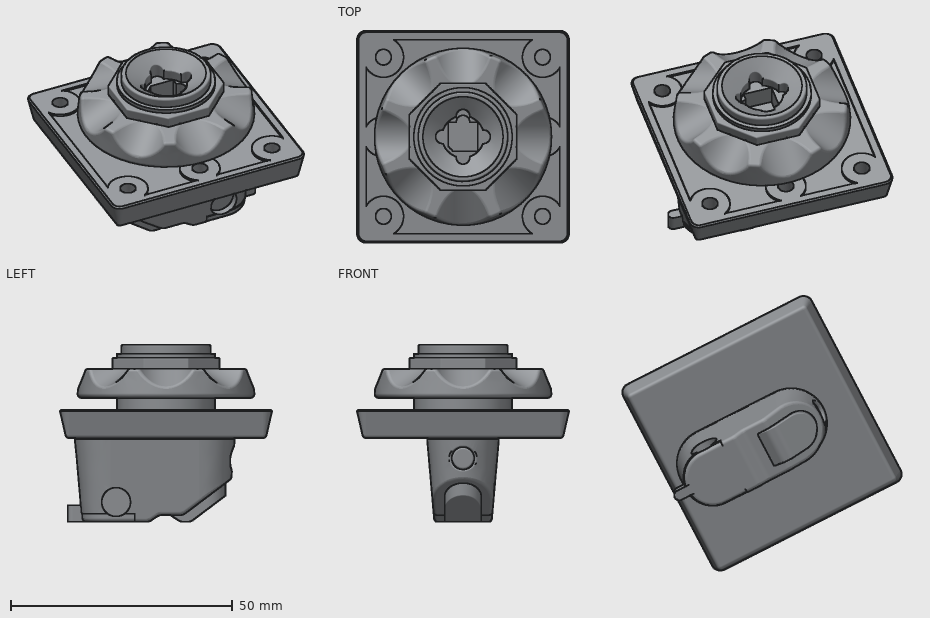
import cadquery as cq
import math


PLATE_SIDE = 48.0
PLATE_THICKNESS = 6.5
PLATE_DRAFT = 13.0
PLATE_CORNER_RADIUS = 2.1
PLATE_TOP_CHAMFER = 0.4
PLATE_TOP_BEVEL = 45.0
PLATE_BOTTOM_FILLET = 0.85
RECESS_SIDE = 43.85
RECESS_DEPTH = 0.5
SCREW_OFFSET = 18.0
SCREW_HOLE_RADIUS = 1.8
SCREW_HOLE_DEPTH = 4.8
SCREW_PAD_RADIUS = 4.55
CORNER_LAND_SIDE = RECESS_SIDE - 2 * SCREW_OFFSET

STEM_RADIUS = 11.15
STEM_TOP = 12.6
CAP_RADIUS = 10.15
CAP_TOP = 14.7
CAP_FILLET = 0.45
BOWL_RADIUS = 9.05
SOCKET_RADIUS = 4.75
BOWL_FLOOR = 11.8
SOCKET_FLOOR = 9.5
SOCKET_EDGE_FILLET = 0.25
LOBE_RADIUS = 1.55
LOBE_OFFSET = 4.65
KEY_SQUARE = 6.6
KEY_CORNER_CHAMFER = 1.1
KEY_DEPTH = 4.8

HOUSING_RADIUS = 8.15
HOUSING_BACK_Y = 12.55
HOUSING_FRONT_Y = -7.45
HOUSING_DRAFT = 5.0
TOTAL_HEIGHT = 40.15
HOUSING_BOTTOM = CAP_TOP - TOTAL_HEIGHT
HOUSING_TOP_CHAMFER = 0.25
HOUSING_RIM_FILLET = 0.85
STEP_START_Y = 3.85
STEP_END_Y = 1.55
STEP_Z = -23.9
RAMP_START_Y = -3.85
RAMP_ANGLE = 37.0
STEP_ROUNDING = 1.9
MIN_UNDERSIDE_SLOPE = 0.3
CUT_END_Y = -28.8
CUT_MARGIN = 0.5

FOOT_TOP = -23.6
FOOT_FRONT_Y = 7.1
FOOT_INSET = 0.2

TONGUE_RADIUS = 4.2
TONGUE_FRONT_Y = -9.3
TONGUE_ROOT_Y = -0.95
TONGUE_FLAT_START_Y = -3.35
TONGUE_FLAT_END_Y = -5.55
TONGUE_EDGE_FILLET = 0.25
TONGUE_ROOT_Z = -21.6

TAB_END_Y = 22.2
TAB_TOP = -21.65
TAB_HALF_WIDTH = 1.15

PIVOT_Y = 11.3
PIVOT_Z = -20.95
PIVOT_RADIUS = 3.25
PIVOT_FLOOR_X = 4.8

BUTTON_Z = -11.05
BUTTON_RADIUS = 2.55
BUTTON_FACE_Y = -14.55
BUTTON_FILLET = 0.55
BUTTON_SEAT_DEPTH = 1.45
BUTTON_MOUTH_FILLET = 0.45

KNOB_BOTTOM = 2.6
KNOB_TOP = 9.2
KNOB_BOTTOM_RADIUS = 20.15
KNOB_TOP_RADIUS = 19.35
KNOB_BOTTOM_FILLET = 0.95
KNOB_EDGE_FILLET = 0.75
SCALLOP_COUNT = 8
SCALLOP_RADIUS = 7.7
SCALLOP_START = 11.5
SCALLOP_SLOPE = 26.5
OCTAGON_SIDES = 8
OCTAGON_FLATS = 24.3
OCTAGON_TOP = 11.65
OCTAGON_FILLET = 0.35


def obround(radius, back_y, front_y, z):
    """Outline along Y with two round ends, centred on X = 0."""
    return (
        cq.Workplane("XY", origin=(0, (back_y + front_y) / 2, z))
        .slot2D(back_y - front_y + 2 * radius, 2 * radius, 90)
    )


def cylinder(radius, bottom, top, x=0, y=0):
    return cq.Workplane("XY", origin=(x, y, bottom)).circle(radius).extrude(top - bottom)


def make_plate():
    outline = (
        cq.Sketch().rect(PLATE_SIDE, PLATE_SIDE).vertices().fillet(PLATE_CORNER_RADIUS)
    )
    base = cq.Workplane("XY", origin=(0, 0, -PLATE_TOP_CHAMFER)).placeSketch(outline)
    plate = base.extrude(PLATE_TOP_CHAMFER - PLATE_THICKNESS, taper=PLATE_DRAFT)
    plate = plate.faces("<Z").edges().fillet(PLATE_BOTTOM_FILLET)
    plate = plate.union(base.extrude(PLATE_TOP_CHAMFER, taper=PLATE_TOP_BEVEL))

    recess = cq.Workplane("XY").rect(RECESS_SIDE, RECESS_SIDE).extrude(-RECESS_DEPTH)
    spots = [(x, y) for x in (-SCREW_OFFSET, SCREW_OFFSET) for y in (-SCREW_OFFSET, 0, SCREW_OFFSET)]
    for x, y in spots:
        recess = recess.cut(cylinder(SCREW_PAD_RADIUS, -RECESS_DEPTH, 0, x, y))
    corner_lands = (
        cq.Workplane("XY")
        .rect(RECESS_SIDE, RECESS_SIDE, forConstruction=True)
        .vertices()
        .rect(CORNER_LAND_SIDE, CORNER_LAND_SIDE)
        .extrude(-RECESS_DEPTH)
    )
    recess = recess.cut(corner_lands)
    plate = plate.cut(recess)
    for x, y in spots:
        plate = plate.cut(cylinder(SCREW_HOLE_RADIUS, -SCREW_HOLE_DEPTH, 0, x, y))
    return plate


def make_stem():
    stem = cylinder(STEM_RADIUS, -RECESS_DEPTH, STEM_TOP)
    cap = cylinder(CAP_RADIUS, STEM_TOP, CAP_TOP).faces(">Z").edges().fillet(CAP_FILLET)
    return stem.union(cap)


def make_socket():
    """Conical bowl, four-lobed hole and keyed square hole, as one cutting shape."""
    socket = cylinder(SOCKET_RADIUS, SOCKET_FLOOR, CAP_TOP)
    for x, y in ((LOBE_OFFSET, 0), (-LOBE_OFFSET, 0), (0, LOBE_OFFSET), (0, -LOBE_OFFSET)):
        socket = socket.union(cylinder(LOBE_RADIUS, SOCKET_FLOOR, CAP_TOP, x, y))
    bowl = (
        cq.Workplane("XZ")
        .polyline([(0, BOWL_FLOOR), (SOCKET_RADIUS, BOWL_FLOOR), (BOWL_RADIUS, CAP_TOP), (0, CAP_TOP)])
        .close()
        .revolve(360, (0, 0, 0), (0, 1, 0))
    )
    key = (
        cq.Workplane("XY", origin=(0, 0, SOCKET_FLOOR))
        .rect(KEY_SQUARE, KEY_SQUARE)
        .extrude(-KEY_DEPTH)
        .edges("|Z and <X and <Y")
        .chamfer(KEY_CORNER_CHAMFER)
    )
    key_lobe = cylinder(LOBE_RADIUS, SOCKET_FLOOR - KEY_DEPTH, SOCKET_FLOOR, 0, KEY_SQUARE / 2)
    return socket.union(bowl).union(key).union(key_lobe)


def round_socket_edge(body):
    """Round the edge between the bowl and the walls of the lobed hole."""
    reach = LOBE_OFFSET + LOBE_RADIUS
    edge_zone = cq.selectors.BoxSelector(
        (-reach, -reach, BOWL_FLOOR - SOCKET_EDGE_FILLET), (reach, reach, STEM_TOP + SOCKET_EDGE_FILLET)
    )
    mouth = body.edges(edge_zone).filter(lambda edge: edge.BoundingBox().xmax < BOWL_RADIUS)
    return mouth.fillet(SOCKET_EDGE_FILLET)


def ramp_z(y, start_y, start_z):
    """Height of a ramp rising toward -Y from (start_y, start_z)."""
    return start_z + (start_y - y) * math.tan(math.radians(RAMP_ANGLE))


def side_profile(points, half_width):
    """Prism across X over an outline given as (y, z) points."""
    return cq.Workplane("YZ").polyline(points).close().extrude(half_width, both=True)


def round_cross_edge(body, y, z):
    """Round the edge along X that passes nearest to (y, z)."""
    nearest = cq.selectors.NearestToPointSelector((0, y, z))
    return body.edges("|X").edges(nearest).fillet(STEP_ROUNDING)


def underside_faces(body):
    return body.faces().filter(lambda face: face.normalAt().z < -MIN_UNDERSIDE_SLOPE)


def make_underside_cut():
    """Everything below the step and the ramp, as one prism across the housing."""
    below = HOUSING_BOTTOM - CUT_MARGIN
    underside = side_profile(
        [
            (STEP_START_Y, HOUSING_BOTTOM),
            (STEP_END_Y, STEP_Z),
            (RAMP_START_Y, STEP_Z),
            (CUT_END_Y, ramp_z(CUT_END_Y, RAMP_START_Y, STEP_Z)),
            (CUT_END_Y, below),
            (STEP_START_Y, below),
        ],
        PLATE_SIDE,
    )
    for y in (STEP_END_Y, RAMP_START_Y):
        underside = round_cross_edge(underside, y, STEP_Z)
    return underside


def make_foot(radius):
    return (
        obround(radius, HOUSING_BACK_Y, HOUSING_FRONT_Y, HOUSING_BOTTOM)
        .extrude(FOOT_TOP - HOUSING_BOTTOM)
        .faces("<Z")
        .edges()
        .fillet(HOUSING_RIM_FILLET)
    )


def make_housing_shell():
    top = -PLATE_THICKNESS
    shell = obround(HOUSING_RADIUS, HOUSING_BACK_Y, HOUSING_FRONT_Y, top).extrude(
        HOUSING_BOTTOM - top, taper=HOUSING_DRAFT
    )
    shell = shell.faces(">Z").edges().chamfer(HOUSING_TOP_CHAMFER)
    shell = round_cross_edge(shell.cut(make_underside_cut()), STEP_START_Y, HOUSING_BOTTOM)
    shell = underside_faces(shell).edges("not(|X)").fillet(HOUSING_RIM_FILLET)

    foot_radius = HOUSING_RADIUS - (top - FOOT_TOP) * math.tan(math.radians(HOUSING_DRAFT)) - FOOT_INSET
    foot_zone = (
        cq.Workplane("XY")
        .box(PLATE_SIDE, PLATE_SIDE, FOOT_TOP - HOUSING_BOTTOM, centered=(True, False, False))
        .translate((0, FOOT_FRONT_Y, HOUSING_BOTTOM))
    )
    return shell.cut(foot_zone).union(make_foot(foot_radius).intersect(foot_zone))


def make_tongue():
    end = TONGUE_FRONT_Y - 2 * TONGUE_RADIUS
    profile = side_profile(
        [
            (TONGUE_ROOT_Y, STEP_Z),
            (TONGUE_FLAT_START_Y, HOUSING_BOTTOM),
            (TONGUE_FLAT_END_Y, HOUSING_BOTTOM),
            (end, ramp_z(end, TONGUE_FLAT_END_Y, HOUSING_BOTTOM)),
            (end, ramp_z(end, RAMP_START_Y, STEP_Z) + CUT_MARGIN),
            (RAMP_START_Y, TONGUE_ROOT_Z),
            (TONGUE_ROOT_Y, TONGUE_ROOT_Z),
        ],
        HOUSING_RADIUS,
    )
    for y in (TONGUE_FLAT_START_Y, TONGUE_FLAT_END_Y):
        profile = round_cross_edge(profile, y, HOUSING_BOTTOM)
    column = obround(TONGUE_RADIUS, HOUSING_BACK_Y, TONGUE_FRONT_Y, HOUSING_BOTTOM)
    tongue = profile.intersect(column.extrude(-HOUSING_BOTTOM))
    return underside_faces(tongue).edges("not(|X)").fillet(TONGUE_EDGE_FILLET)


def make_tab():
    """Thin upright tab with a fully rounded +Y end."""
    tab = obround(TAB_HALF_WIDTH, TAB_END_Y - TAB_HALF_WIDTH, HOUSING_BACK_Y, HOUSING_BOTTOM)
    return tab.extrude(TAB_TOP - HOUSING_BOTTOM)


def cut_button_seat(shell):
    """Cut a round seat with a rounded mouth into the -Y end, leaving the button standing in it."""
    seat = (
        cq.Workplane("XZ", origin=(0, BUTTON_FACE_Y + BUTTON_SEAT_DEPTH, BUTTON_Z))
        .circle(BUTTON_RADIUS)
        .extrude(BUTTON_SEAT_DEPTH + HOUSING_RADIUS)
    )
    button = (
        cq.Workplane("XZ", origin=(0, BUTTON_FACE_Y + BUTTON_SEAT_DEPTH, BUTTON_Z))
        .circle(BUTTON_RADIUS)
        .extrude(BUTTON_SEAT_DEPTH)
        .faces("<Y")
        .edges()
        .fillet(BUTTON_FILLET)
    )
    mouth = cq.selectors.NearestToPointSelector((0, HOUSING_FRONT_Y - 2 * HOUSING_RADIUS, BUTTON_Z))
    shell = shell.cut(seat.cut(button))
    return shell.edges("%BSPLINE or %OTHER").edges(mouth).fillet(BUTTON_MOUTH_FILLET)


def make_pivot_recess(side):
    return (
        cq.Workplane("YZ", origin=(side * PIVOT_FLOOR_X, PIVOT_Y, PIVOT_Z))
        .circle(PIVOT_RADIUS)
        .extrude(side * HOUSING_RADIUS)
    )


def make_lower_housing():
    shell = cut_button_seat(make_housing_shell())
    housing = shell.union(make_tab()).union(make_tongue())
    for side in (-1, 1):
        housing = housing.cut(make_pivot_recess(side))
    return housing


def make_knob():
    knob = (
        cq.Workplane("XZ")
        .polyline(
            [(0, KNOB_BOTTOM), (KNOB_BOTTOM_RADIUS, KNOB_BOTTOM), (KNOB_TOP_RADIUS, KNOB_TOP), (0, KNOB_TOP)]
        )
        .close()
        .revolve(360, (0, 0, 0), (0, 1, 0))
    )
    slope = math.radians(SCALLOP_SLOPE)
    axis_start = cq.Vector(
        SCALLOP_START + SCALLOP_RADIUS * math.sin(slope), 0, KNOB_TOP + SCALLOP_RADIUS * math.cos(slope)
    )
    axis_direction = cq.Vector(math.cos(slope), 0, -math.sin(slope))
    scallop = cq.Solid.makeCylinder(
        SCALLOP_RADIUS, 3 * KNOB_TOP_RADIUS, axis_start - axis_direction * KNOB_TOP_RADIUS, axis_direction
    )
    for i in range(SCALLOP_COUNT):
        knob = knob.cut(cq.Workplane(scallop.rotate((0, 0, 0), (0, 0, 1), i * 360 / SCALLOP_COUNT)))
    knob = knob.edges("not(<Z)").fillet(KNOB_EDGE_FILLET)
    knob = knob.faces("<Z").edges().fillet(KNOB_BOTTOM_FILLET)

    octagon = (
        cq.Workplane("XY", origin=(0, 0, KNOB_TOP))
        .polygon(OCTAGON_SIDES, OCTAGON_FLATS, circumscribed=True)
        .extrude(OCTAGON_TOP - KNOB_TOP)
        .edges("|Z or >Z")
        .fillet(OCTAGON_FILLET)
    )
    return knob.union(octagon).cut(cylinder(STEM_RADIUS, 0, OCTAGON_TOP))


housing = make_plate().union(make_stem()).union(make_lower_housing())
housing = round_socket_edge(housing.cut(make_socket()))
knob = make_knob()
result = cq.Compound.makeCompound([housing.val(), knob.val()])